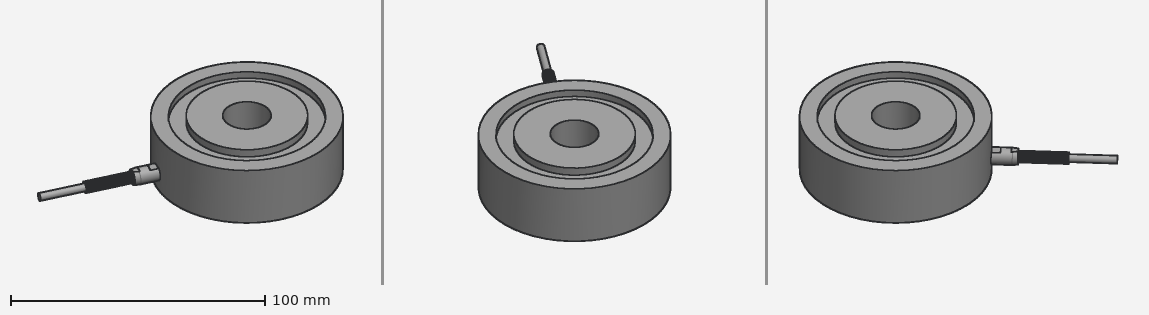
import cadquery as cq

body_diameter = 75.7
body_height = 25.0
bore_diameter = 19.0

recess_diameter = 61.8
button_diameter = 47.8
button_rise = 0.4
recess_depth = 3.0

exit_height = 7.6
gland_diameter = 7.0
wrench_flat_spacing = 5.8
wrench_flat_length = 3.5
gland_length = 8.1
nose_length = 2.3
nose_end_diameter = 6.5
nose_flat_spacing = 6.3
nose_flat_lead = 0.4

relief_diameter = 4.8
relief_bore = 3.9
coil_count = 47
relief_length = 20.3
relief_end = 30.4
coil_pitch = relief_length / coil_count

cable_diameter = 3.3
overall_length = 125.2

body_radius = body_diameter / 2
cable_end = overall_length - body_diameter
embed = 2.5


def ring_with_recess():
    ring = cq.Workplane("XY").circle(body_radius).extrude(body_height)
    recess = (
        cq.Workplane("XY", origin=(0, 0, body_height - recess_depth))
        .circle(recess_diameter / 2)
        .extrude(recess_depth)
    )
    button = cq.Workplane("XY").circle(button_diameter / 2).extrude(body_height + button_rise)
    return ring.cut(recess).union(button)


def about_cable(profile):
    """Close and revolve a (radius, distance from the ring wall) profile about the cable axis."""
    turned = profile.close().revolve(360, (0, 0, 0), (0, 1, 0))
    return turned.rotate((0, 0, 0), (0, 0, 1), 180).translate((0, -body_radius, exit_height))


def flat_pair(spacing, start, length):
    """The stock outside two parallel faces above and below the cable axis."""
    thickness = (gland_diameter - spacing) / 2
    middle = -body_radius - start - length / 2
    slab = cq.Workplane("XY").box(gland_diameter, length, thickness)
    offset = (spacing + thickness) / 2
    upper = slab.translate((0, middle, exit_height + offset))
    lower = slab.translate((0, middle, exit_height - offset))
    return upper.union(lower)


def gland():
    nose_end = gland_length + nose_length
    turned = about_cable(
        cq.Workplane("XY")
        .moveTo(0, -embed)
        .lineTo(gland_diameter / 2, -embed)
        .lineTo(gland_diameter / 2, gland_length)
        .lineTo(nose_end_diameter / 2, nose_end)
        .lineTo(0, nose_end)
    )
    wrench_flats = flat_pair(wrench_flat_spacing, -embed, wrench_flat_length + embed)
    nose_flats = flat_pair(nose_flat_spacing, gland_length - nose_flat_lead, nose_length + nose_flat_lead)
    return turned.cut(wrench_flats).cut(nose_flats)


def bend_relief():
    crest = relief_diameter / 2
    valley = crest - coil_pitch / 2
    inner = relief_bore / 2
    start = relief_end - relief_length
    profile = cq.Workplane("XY").moveTo(inner, start).lineTo(valley, start)
    for index in range(coil_count):
        coil_start = start + index * coil_pitch
        profile = profile.threePointArc(
            (crest, coil_start + coil_pitch / 2), (valley, coil_start + coil_pitch)
        )
    return about_cable(profile.lineTo(inner, relief_end))


def cable():
    return about_cable(
        cq.Workplane("XY")
        .lineTo(cable_diameter / 2, 0)
        .lineTo(cable_diameter / 2, cable_end)
        .lineTo(0, cable_end)
    )


bore = cq.Workplane("XY").circle(bore_diameter / 2).extrude(body_height + button_rise)

result = ring_with_recess().union(gland()).union(bend_relief()).union(cable()).cut(bore)